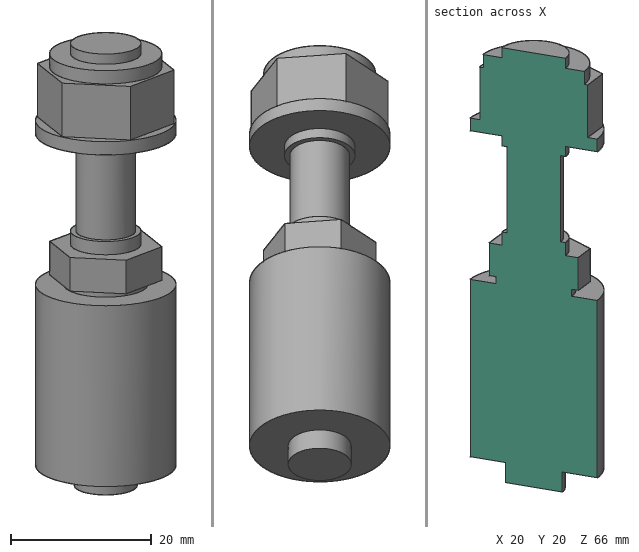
import cadquery as cq
import math

spigot_height = 3.05
body_height = 27.0
neck_height = 1.0
lower_nut_height = 5.0
lower_collar_height = 2.0
upper_collar_height = 1.5
washer_height = 2.0
upper_nut_height = 8.0
nut_cap_height = 2.0
stud_tip_height = 1.5
total_height = 66.0

spigot_diameter = 9.0
body_diameter = 20.0
neck_diameter = 12.0
thread_diameter = 10.0
shank_diameter = 8.5
washer_diameter = body_diameter
nut_cap_diameter = 16.0

lower_nut_flats = 14.0
upper_nut_flats = 17.0

other_heights = (
    spigot_height + body_height + neck_height + lower_nut_height + lower_collar_height
    + upper_collar_height + washer_height + upper_nut_height + nut_cap_height + stud_tip_height
)
shank_height = total_height - other_heights


def add_disc(stack, diameter, height):
    """Add a round section on top of the stack."""
    return stack.faces(">Z").workplane(origin=(0, 0, 0)).circle(diameter / 2).extrude(height)


def add_hexagon(stack, across_flats, height):
    """Add a hexagonal section with two corners on the X axis."""
    across_corners = across_flats / math.cos(math.radians(30))
    top = stack.faces(">Z").workplane(origin=(0, 0, 0))
    return top.polygon(6, across_corners).extrude(height)


stud = cq.Workplane("XY").circle(spigot_diameter / 2).extrude(spigot_height)
stud = add_disc(stud, body_diameter, body_height)
stud = add_disc(stud, neck_diameter, neck_height)
stud = add_hexagon(stud, lower_nut_flats, lower_nut_height)

stud = add_disc(stud, thread_diameter, lower_collar_height)
stud = add_disc(stud, shank_diameter, shank_height)
stud = add_disc(stud, thread_diameter, upper_collar_height)

stud = add_disc(stud, washer_diameter, washer_height)
stud = add_hexagon(stud, upper_nut_flats, upper_nut_height)
stud = add_disc(stud, nut_cap_diameter, nut_cap_height)
stud = add_disc(stud, thread_diameter, stud_tip_height)

result = stud